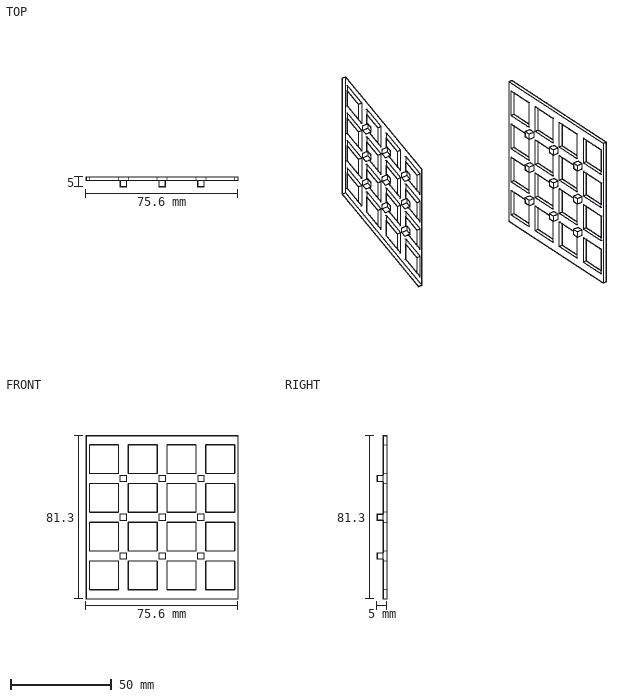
import cadquery as cq

plate_width = 75.6
plate_height = 81.35
plate_thickness = 1.95
total_depth = 5.0

windows_per_side = 4
window_size = 14.2
bar_width = 5.05
window_pitch = window_size + bar_width

pegs_per_side = windows_per_side - 1
peg_size = 3.2
peg_length = total_depth - plate_thickness

narrow_peg_trim = 0.1


def make_plate():
    """Plain plate with its -Y face on the XZ plane."""
    return cq.Workplane("XY").box(
        plate_width, plate_thickness, plate_height, centered=(True, False, True)
    )


def make_window_cutters():
    """Square prisms passing through the whole plate thickness."""
    return (
        cq.Workplane("XZ")
        .rarray(window_pitch, window_pitch, windows_per_side, windows_per_side)
        .rect(window_size, window_size)
        .extrude(-plate_thickness)
    )


def make_pegs():
    """Square pegs standing on the -Y face at every bar crossing."""
    return (
        cq.Workplane("XZ")
        .rarray(window_pitch, window_pitch, pegs_per_side, pegs_per_side)
        .rect(peg_size, peg_size)
        .extrude(peg_length)
    )


def make_corner_peg_trim():
    """Thin slice removed from the -X side of the corner peg."""
    corner_offset = window_pitch * (pegs_per_side - 1) / 2
    slice_center_x = corner_offset - peg_size / 2 + narrow_peg_trim / 2
    return (
        cq.Workplane("XZ")
        .center(slice_center_x, corner_offset)
        .rect(narrow_peg_trim, peg_size)
        .extrude(peg_length)
    )


pegs = make_pegs().cut(make_corner_peg_trim())
result = make_plate().cut(make_window_cutters()).union(pegs)